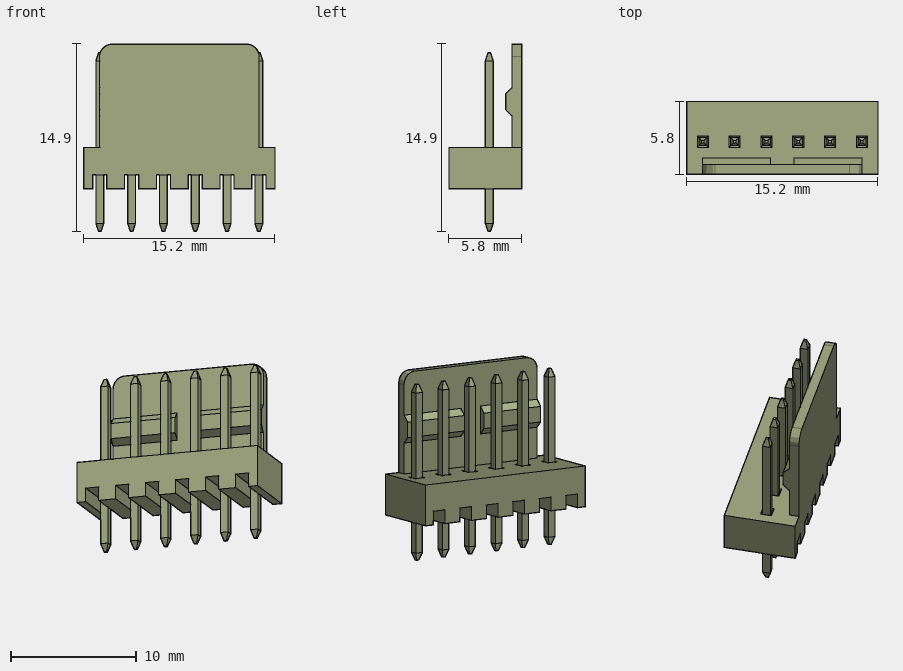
import cadquery as cq

body_length = 15.24
body_depth = 5.8
body_height = 3.3

pin_count = 6
pin_pitch = 2.53
pin_width = 0.64
pin_tip_width = 0.21
pin_tip_length = 0.64
pin_y = 2.59
pin_drop = 3.38
pin_top_gap = 0.69

slot_width = 1.1
slot_height = 1.11
sink_width = 0.88

wall_length = 12.7
wall_thickness = 0.8
wall_height = 8.21
wall_corner_radius = 1.0

ridge_height = 0.5
ridge_flat = 1.25
ridge_gap = 1.86
ridge_flat_drop = 3.96

wall_top = body_height + wall_height
pin_positions = [(i - (pin_count - 1) / 2) * pin_pitch for i in range(pin_count)]


def box(center_x, length, y_start, depth, z_start, height):
    """Box centred on center_x, growing from y_start and z_start."""
    blank = cq.Workplane("XY").box(length, depth, height, centered=(True, False, False))
    return blank.translate((center_x, y_start, z_start))


def square_taper(start_z, start_width, end_z, end_width):
    """Square frustum on the Z axis between two heights."""
    return (
        cq.Workplane("XY", origin=(0, 0, start_z))
        .rect(start_width, start_width)
        .workplane(offset=end_z - start_z)
        .rect(end_width, end_width)
        .loft(combine=True)
    )


def make_body():
    """Block with a slot through its underside and a countersink in its top at each pin."""
    body = box(0, body_length, 0, body_depth, 0, body_height)
    sink_depth = (sink_width - pin_width) / 2
    sink = square_taper(body_height - sink_depth, pin_width, body_height, sink_width)
    for x in pin_positions:
        body = body.cut(box(x, slot_width, 0, body_depth, 0, slot_height))
        body = body.cut(sink.translate((x, pin_y, 0)))
    return body


def make_wall():
    """Upright plate with two rounded upper corners."""
    wall = box(0, wall_length, 0, wall_thickness, 0, wall_height)
    wall = wall.edges("|Y and >Z").fillet(wall_corner_radius)
    return wall.translate((0, 0, body_height))


def make_ridge(x_start, length):
    """Trapezoidal bar along X on the inner face of the wall."""
    crest_y = wall_thickness + ridge_height
    flat_top = wall_top - ridge_flat_drop
    flat_bottom = flat_top - ridge_flat
    profile = [
        (0, flat_top + ridge_height),
        (wall_thickness, flat_top + ridge_height),
        (crest_y, flat_top),
        (crest_y, flat_bottom),
        (wall_thickness, flat_bottom - ridge_height),
        (0, flat_bottom - ridge_height),
    ]
    return cq.Workplane("YZ").polyline(profile).close().extrude(length).translate((x_start, 0, 0))


def make_pin(x):
    """Square pin tapered at both ends."""
    bottom = -pin_drop
    top = wall_top - pin_top_gap
    shank_bottom = bottom + pin_tip_length
    shank_top = top - pin_tip_length
    pin = box(0, pin_width, -pin_width / 2, pin_width, shank_bottom, shank_top - shank_bottom)
    pin = pin.union(square_taper(shank_top, pin_width, top, pin_tip_width))
    pin = pin.union(square_taper(shank_bottom, pin_width, bottom, pin_tip_width))
    return pin.translate((x, pin_y, 0))


ridge_length = (wall_length - ridge_gap) / 2

result = make_body().union(make_wall())
for ridge_start in (-wall_length / 2, ridge_gap / 2):
    result = result.union(make_ridge(ridge_start, ridge_length))
for pin_x in pin_positions:
    result = result.union(make_pin(pin_x))